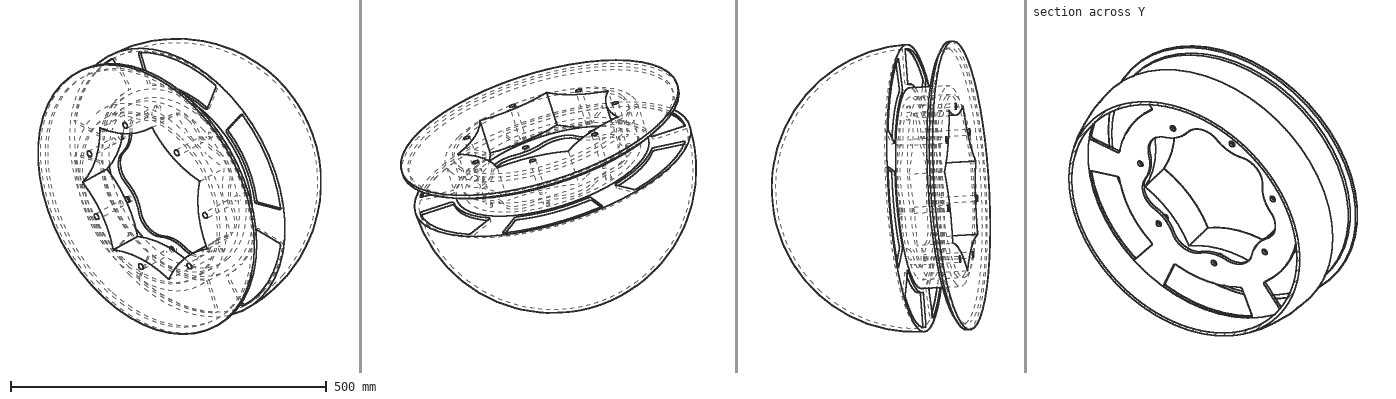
import cadquery as cq
import math

COVER_RADIUS = 229.0
COVER_THICKNESS = 5.5
RING_RADIUS = 219.0
RING_THICKNESS = 6.0
RING_BACK = COVER_THICKNESS + RING_THICKNESS
OVERALL_DEPTH = 302.0
DOME_RADIUS = 228.0
DOME_WALL = 6.0
FLOOR_THICKNESS = 5.0
DOME_RIM = OVERALL_DEPTH - DOME_RADIUS

TUBE_RADIUS = 159.5
BORE_RADIUS = 145.0
PLUG_DEPTH = 58.0

LOBES = 7
LOBE_PITCH = 360 / LOBES
TIP_ANGLE = 84.9
STAR_TIP_RADIUS = 135.5
STAR_WAIST_RADIUS = 111.5
WAVE_TIP_RADIUS = 125.5
WAVE_WAIST_RADIUS = 109.0
WAVE_LOBE_ARC = 36.5
BOLT_CIRCLE_RADIUS = 126.0
BOLT_HOLE_DIAMETER = 9.5

WINDOWS = 6
WINDOW_PITCH = 360 / WINDOWS
WINDOW_INNER_RADIUS = 165.8
WINDOW_OUTER_RADIUS = 221.0
WINDOW_SPAN = 44.0
WINDOW_CORNER_RADIUS = 3.5


def polar(radius, angle):
    """Point (X, Z) at an angle in degrees from +X toward +Z."""
    return radius * math.cos(math.radians(angle)), radius * math.sin(math.radians(angle))


def plane_at(y):
    """Work plane at depth y, with local x = X and local y = Z, facing -Y."""
    return cq.Workplane(cq.Plane(origin=(0, y, 0), xDir=(1, 0, 0), normal=(0, -1, 0)))


def disc(radius, start, end):
    """Solid cylinder about the Y axis between two depths; negative extrusion runs toward +Y."""
    return plane_at(start).circle(radius).extrude(start - end)


def bolt_holes(start, end):
    holes = [polar(BOLT_CIRCLE_RADIUS, TIP_ANGLE + (i + 0.5) * LOBE_PITCH) for i in range(LOBES)]
    return plane_at(start).pushPoints(holes).circle(BOLT_HOLE_DIAMETER / 2).extrude(start - end)


def star_opening(start, end):
    """Seven sharp tips joined by arcs that bulge toward the centre."""
    outline = plane_at(start).moveTo(*polar(STAR_TIP_RADIUS, TIP_ANGLE))
    for i in range(LOBES):
        tip = TIP_ANGLE + i * LOBE_PITCH
        waist = polar(STAR_WAIST_RADIUS, tip + LOBE_PITCH / 2)
        outline = outline.threePointArc(waist, polar(STAR_TIP_RADIUS, tip + LOBE_PITCH))
    return outline.close().extrude(start - end)


def wavy_opening(start, end):
    """Seven outward lobes joined by inward bumps, all tangent arcs."""
    half_pitch = LOBE_PITCH / 2
    pitch_cosine = math.cos(math.radians(half_pitch))
    lobe_centre = WAVE_TIP_RADIUS - WAVE_LOBE_ARC
    bump_arc = (
        WAVE_LOBE_ARC**2
        - lobe_centre**2
        - WAVE_WAIST_RADIUS**2
        + 2 * lobe_centre * WAVE_WAIST_RADIUS * pitch_cosine
    ) / (2 * (WAVE_WAIST_RADIUS - lobe_centre * pitch_cosine - WAVE_LOBE_ARC))
    bump_centre = WAVE_WAIST_RADIUS + bump_arc

    bump_x, bump_y = polar(bump_centre, half_pitch)
    share = WAVE_LOBE_ARC / (WAVE_LOBE_ARC + bump_arc)
    join_x = lobe_centre + share * (bump_x - lobe_centre)
    join_y = share * bump_y
    join_radius = math.hypot(join_x, join_y)
    join_angle = math.degrees(math.atan2(join_y, join_x))

    outline = plane_at(start).moveTo(*polar(join_radius, TIP_ANGLE - join_angle))
    for i in range(LOBES):
        tip = TIP_ANGLE + i * LOBE_PITCH
        lobe_end = polar(join_radius, tip + join_angle)
        bump_end = polar(join_radius, tip + LOBE_PITCH - join_angle)
        outline = outline.threePointArc(polar(WAVE_TIP_RADIUS, tip), lobe_end)
        outline = outline.threePointArc(polar(WAVE_WAIST_RADIUS, tip + half_pitch), bump_end)
    return outline.close().extrude(start - end)


def window(mid_angle, start, end):
    """Ring-sector opening with radial sides and rounded corners."""
    first = mid_angle - WINDOW_SPAN / 2
    last = mid_angle + WINDOW_SPAN / 2
    sector = (
        plane_at(start)
        .moveTo(*polar(WINDOW_INNER_RADIUS, first))
        .lineTo(*polar(WINDOW_OUTER_RADIUS, first))
        .threePointArc(polar(WINDOW_OUTER_RADIUS, mid_angle), polar(WINDOW_OUTER_RADIUS, last))
        .lineTo(*polar(WINDOW_INNER_RADIUS, last))
        .threePointArc(polar(WINDOW_INNER_RADIUS, mid_angle), polar(WINDOW_INNER_RADIUS, first))
        .close()
        .extrude(start - end)
    )
    return sector.edges("|Y").fillet(WINDOW_CORNER_RADIUS)


def make_dome():
    """Hollow hemisphere closed by a floor with windows, a wavy opening and bolt holes."""
    floor_back = DOME_RIM + FLOOR_THICKNESS
    cavity_radius = DOME_RADIUS - DOME_WALL
    cavity_apex = OVERALL_DEPTH - DOME_WALL
    cavity_edge = math.sqrt(cavity_radius**2 - FLOOR_THICKNESS**2)
    outer_mid_x, outer_mid_y = polar(DOME_RADIUS, 45)
    inner_mid_x, inner_mid_y = polar(cavity_radius, 45)
    half_section = (
        cq.Workplane("XY")
        .moveTo(0, DOME_RIM)
        .lineTo(-DOME_RADIUS, DOME_RIM)
        .threePointArc((-outer_mid_x, DOME_RIM + outer_mid_y), (0, OVERALL_DEPTH))
        .lineTo(0, cavity_apex)
        .threePointArc((-inner_mid_x, DOME_RIM + inner_mid_y), (-cavity_edge, floor_back))
        .lineTo(0, floor_back)
        .close()
    )
    dome = half_section.revolve(360, (0, 0, 0), (0, 1, 0))
    for i in range(WINDOWS):
        dome = dome.cut(window((i + 0.5) * WINDOW_PITCH, DOME_RIM, floor_back))
    return dome.cut(wavy_opening(DOME_RIM, floor_back)).cut(bolt_holes(DOME_RIM, floor_back))


def make_tube():
    """Spacer tube from the back of the ring to the dome floor."""
    return disc(TUBE_RADIUS, RING_BACK, DOME_RIM).cut(disc(BORE_RADIUS, RING_BACK, DOME_RIM))


def make_ring():
    """Flat ring behind the cover, bored for the plug."""
    return disc(RING_RADIUS, COVER_THICKNESS, RING_BACK).cut(
        disc(BORE_RADIUS, COVER_THICKNESS, RING_BACK)
    )


def make_cover():
    """Front disc with a plug that carries the star opening and the bolt holes."""
    cover = disc(COVER_RADIUS, 0, COVER_THICKNESS).union(disc(BORE_RADIUS, 0, PLUG_DEPTH))
    return cover.cut(star_opening(0, PLUG_DEPTH)).cut(bolt_holes(0, PLUG_DEPTH))


dome = make_dome()
tube = make_tube()
ring = make_ring()
cover = make_cover()

result = cq.Compound.makeCompound([dome.val(), tube.val(), ring.val(), cover.val()])